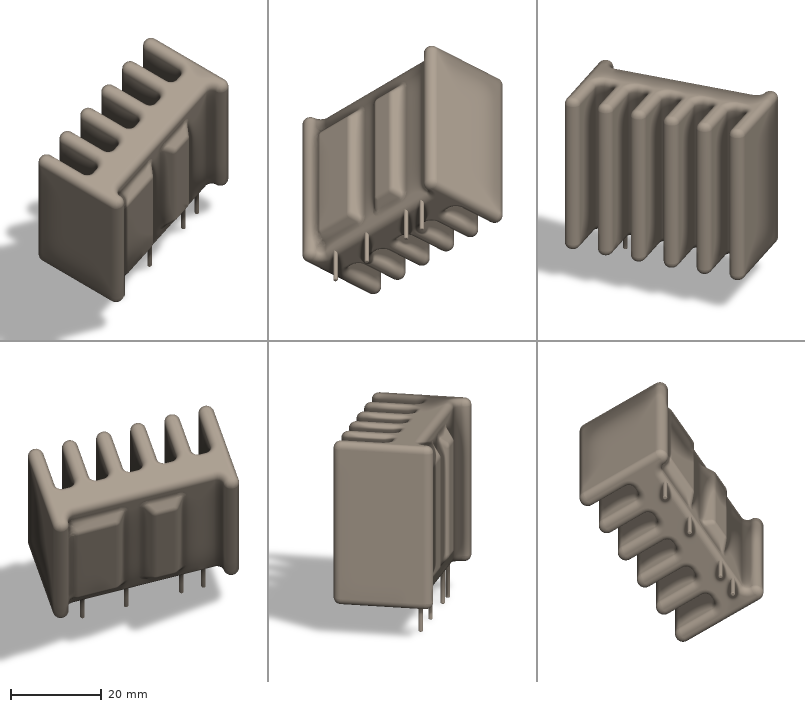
import cadquery as cq

depth = 22.5
width = 43.0
overall_height = 44.5
pin_length = 7.0
body_height = overall_height - pin_length

fin_count = 6
fin_thickness = 3.5
fin_pitch = (width - fin_thickness) / (fin_count - 1)
end_fin_inner_face = width / 2 - fin_thickness

web_front = 12.0
web_back = 19.22

round_radius = 1.5

boss_rise = 2.22
boss_side_angle = 45
boss_end_margin = 3.55
boss_spans = [(-0.45, 9.2), (-18.75, -4.3)]
boss_z_low = boss_end_margin
boss_z_high = body_height - boss_end_margin

pin_diameter = 1.0
pin_chamfer = 0.15
pin_embedding = 1.35
pin_x = 18.45
pin_places = [14.0, 8.9, -3.85, -14.0]


def sharp_block():
    """Web and fins as a straight prism."""
    web_depth = web_back - web_front
    web = cq.Workplane("XY").box(web_depth, width - fin_thickness, body_height, centered=(False, True, False))
    block = web.translate((web_front, 0, 0))
    for i in range(fin_count):
        is_end_fin = i in (0, fin_count - 1)
        fin_length = depth if is_end_fin else (web_front + web_back) / 2
        fin_y = (i - (fin_count - 1) / 2) * fin_pitch
        fin = (
            cq.Workplane("XY")
            .center(fin_length / 2, fin_y)
            .slot2D(fin_length, fin_thickness)
            .extrude(body_height)
        )
        block = block.union(fin)
    return block


def rounded_block():
    """Block with the corners between web and fins filleted, then the rims of both ends rounded."""
    tolerance = 0.05
    web_corners = cq.selectors.BoxSelector(
        (web_front - tolerance, -end_fin_inner_face - tolerance, 0),
        (web_back + tolerance, end_fin_inner_face + tolerance, body_height),
    )
    block = sharp_block().edges("|Z").edges(web_corners).fillet(round_radius)
    return block.faces("<Z or >Z").edges().fillet(round_radius)


def boss(y_low, y_high):
    """Boss with sloping sides and rounded outer edges, sunk into the web so that its foot is clean."""
    sink = round_radius
    base_width = y_high - y_low + 2 * sink
    base_height = boss_z_high - boss_z_low + 2 * sink
    return (
        cq.Workplane("YZ", origin=(web_back - sink, 0, 0))
        .center((y_low + y_high) / 2, (boss_z_low + boss_z_high) / 2)
        .rect(base_width, base_height)
        .extrude(boss_rise + sink, taper=boss_side_angle)
        .edges("not <X")
        .fillet(round_radius)
    )


def add_boss(block, y_low, y_high):
    """Join a boss to the block; the fillet at its foot follows the whole smooth outline from one edge."""
    foot_edge = cq.selectors.NearestToPointSelector((web_back, (y_low + y_high) / 2, boss_z_low))
    return block.union(boss(y_low, y_high)).edges(foot_edge).fillet(round_radius)


def pin(y):
    """Round pin with a chamfered tip, reaching up into the web."""
    return (
        cq.Workplane("XY", origin=(pin_x, y, -pin_length))
        .circle(pin_diameter / 2)
        .extrude(pin_length + pin_embedding)
        .faces("<Z")
        .chamfer(pin_chamfer)
    )


result = rounded_block()
for y_low, y_high in boss_spans:
    result = add_boss(result, y_low, y_high)
for y in pin_places:
    result = result.union(pin(y))